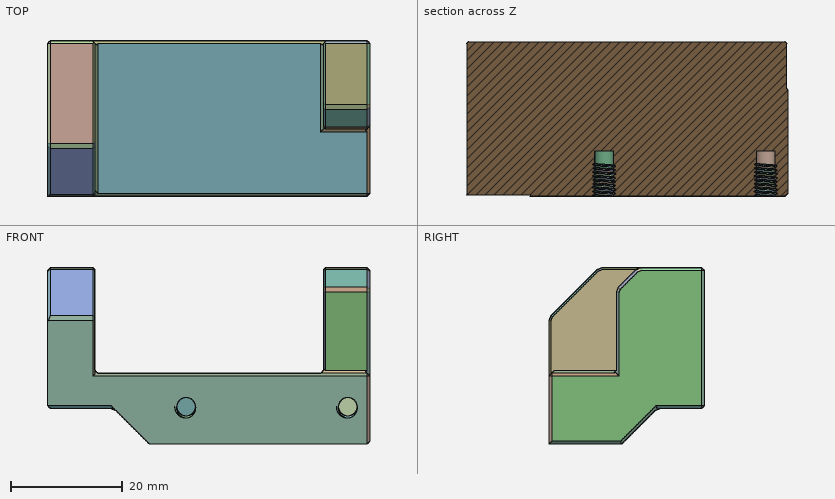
import cadquery as cq

length = 58.0
width = 28.0
height = 31.7
floor_z = 12.75
ledge_z = 6.4

foot_left = 18.3
foot_depth = 13.1
slope_top_x = foot_left - ledge_z
slope_top_y = foot_depth + ledge_z

left_post_thickness = 8.5
left_post_cut = 9.0
right_post_thickness = 8.35
right_post_depth = 15.9
right_post_cut = 3.9
right_post_x = length - right_post_thickness
right_post_y = width - right_post_depth

edge_break = 0.5
inner_edge_break = 0.35

hole_x = (24.95, 54.0)
hole_z = 6.7
hole_depth = 8.1
minor_diameter = 3.3
major_diameter = 4.1
thread_pitch = 0.7
thread_depth = 5.8
groove_mouth = 0.5
groove_overlap = 0.1

TOLERANCE = 0.005


def make_post(x_start, thickness, front, cut):
    """Post standing against the back face, its top front corner cut at 45 degrees."""
    outline = [
        (front, ledge_z),
        (width, ledge_z),
        (width, height),
        (front + cut, height),
        (front, height - cut),
    ]
    return cq.Workplane("YZ", origin=(x_start, 0, 0)).polyline(outline).close().extrude(thickness)


def make_foot():
    """Foot whose left and back sides flare out at 45 degrees up to the plate."""
    front_outline = [(foot_left, 0), (length, 0), (length, ledge_z), (slope_top_x, ledge_z)]
    side_outline = [(0, 0), (foot_depth, 0), (slope_top_y, ledge_z), (0, ledge_z)]
    left_sloped = cq.Workplane("XZ").polyline(front_outline).close().extrude(-width)
    back_sloped = cq.Workplane("YZ").polyline(side_outline).close().extrude(length)
    return left_sloped.intersect(back_sloped)


def make_body():
    """Plate, foot and posts joined, with all edges still sharp."""
    plate = cq.Workplane("XY", origin=(0, 0, ledge_z)).box(length, width, floor_z - ledge_z, centered=False)
    left_post = make_post(0, left_post_thickness, 0, left_post_cut)
    right_post = make_post(right_post_x, right_post_thickness, right_post_y, right_post_cut)
    return plate.union(make_foot()).union(left_post).union(right_post).clean()


def lies_at(low, high, value):
    """True when a bounding box is flat in one direction and sits at the given value."""
    return abs(low - value) < TOLERANCE and abs(high - value) < TOLERANCE


def at_x(box, x):
    return lies_at(box.xmin, box.xmax, x)


def at_y(box, y):
    return lies_at(box.ymin, box.ymax, y)


def at_z(box, z):
    return lies_at(box.zmin, box.zmax, z)


def at_left_post_base(box):
    """Inner corner between the left post and the plate."""
    return at_z(box, floor_z) and at_x(box, left_post_thickness)


def at_right_post_base(box):
    """Inner corner where the right post's left and front sides meet the plate."""
    return at_z(box, floor_z) and (at_x(box, right_post_x) or at_y(box, right_post_y))


def at_ledge_step(box):
    """Inner corner between the plate's underside and the foot's sloping sides."""
    return at_z(box, ledge_z) and (at_x(box, slope_top_x) or at_y(box, slope_top_y))


def on_inner_post_outline(box):
    """Top, sloping and front edges of the post faces that look at each other."""
    on_face = at_x(box, left_post_thickness) or at_x(box, right_post_x)
    rises_above_base = box.zmax > floor_z + edge_break + TOLERANCE
    on_back = box.ymin > width - edge_break - TOLERANCE
    return on_face and rises_above_base and not on_back


def is_outer_corner(box):
    """Outer corners, without the inner post outlines and the edges that stay sharp."""
    if at_x(box, length):
        return True
    on_foot = box.zmin < TOLERANCE
    left_front_corner = at_x(box, 0) and at_y(box, 0)
    inner_corner = at_left_post_base(box) or at_right_post_base(box) or at_ledge_step(box)
    return not (on_foot or left_front_corner or inner_corner or on_inner_post_outline(box))


def chamfer_where(body, test, size):
    """Chamfer the edges whose bounding box passes the test."""
    edges = [edge for edge in body.edges().vals() if test(edge.BoundingBox())]
    return body.newObject(edges).chamfer(size)


def break_edges(body):
    """Break the edges in the order that gives the right post's base a square corner."""
    body = chamfer_where(body, is_outer_corner, edge_break)
    body = chamfer_where(body, at_right_post_base, edge_break)
    body = chamfer_where(body, on_inner_post_outline, inner_edge_break)
    body = chamfer_where(body, at_left_post_base, edge_break)
    return chamfer_where(body, at_ledge_step, edge_break)


def make_threaded_hole(x):
    """Blind bore along +Y with a helical V groove that is deepest at the bottom of the mouth."""
    bore = cq.Workplane("XY").circle(minor_diameter / 2).extrude(hole_depth)
    groove_base = minor_diameter / 2 - groove_overlap
    profile = [(groove_base, -groove_mouth / 2), (major_diameter / 2, 0), (groove_base, groove_mouth / 2)]
    helix = cq.Workplane(cq.Wire.makeHelix(thread_pitch, thread_depth + thread_pitch, groove_base))
    groove = cq.Workplane("XZ").polyline(profile).close().sweep(helix, isFrenet=True)
    groove = groove.rotate((0, 0, 0), (0, 0, 1), 90).translate((0, 0, -thread_pitch))
    return bore.union(groove).rotate((0, 0, 0), (1, 0, 0), -90).translate((x, 0, hole_z))


result = break_edges(make_body())
for x in hole_x:
    result = result.cut(make_threaded_hole(x))